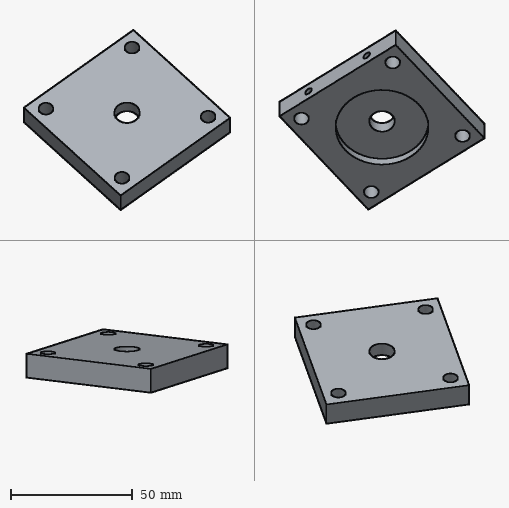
import cadquery as cq
import math

side = 60.0
thickness = 10.0

bore_diameter = 10.4
corner_hole_diameter = 6.0
corner_hole_spacing = 47.15

recess_diameter = 38.1
bore_length = 6.0
recess_depth = thickness - bore_length

edge_hole_diameter = 3.3
edge_hole_spacing = side / 2
edge_hole_depth = 10.0
drill_point_angle = 118.0


def drilled_hole(y):
    """Cutter for one blind hole along +X, ending in a conical drill point."""
    radius = edge_hole_diameter / 2
    point_length = radius / math.tan(math.radians(drill_point_angle / 2))
    profile = (
        cq.Workplane("XY")
        .moveTo(0, 0)
        .lineTo(0, radius)
        .lineTo(edge_hole_depth, radius)
        .lineTo(edge_hole_depth + point_length, 0)
        .close()
    )
    cutter = profile.revolve(360, (0, 0, 0), (1, 0, 0))
    return cutter.translate((-side / 2, y, 0))


plate = cq.Workplane("XY").box(side, side, thickness)
plate = plate.faces("<Z").workplane().cboreHole(bore_diameter, recess_diameter, recess_depth)
plate = (
    plate.faces(">Z")
    .workplane()
    .rect(corner_hole_spacing, corner_hole_spacing, forConstruction=True)
    .vertices()
    .hole(corner_hole_diameter)
)

for y in (-edge_hole_spacing / 2, edge_hole_spacing / 2):
    plate = plate.cut(drilled_hole(y))

result = plate